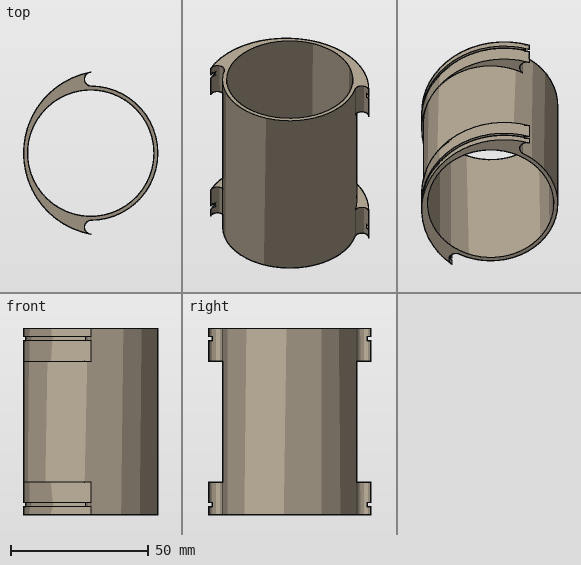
import math

import cadquery as cq

TUBE_RADIUS = 24.5
BORE_RADIUS = 23.0
LENGTH = 68.0

FLANGE_HEIGHT = 12.0
FLANGE_OFFSET = 5.6
FLANGE_RADIUS = TUBE_RADIUS + FLANGE_OFFSET
TIP_Y = math.sqrt(FLANGE_RADIUS**2 - FLANGE_OFFSET**2)
NOTCH_WIDTH = 5.0
NOTCH_DEPTH = 2.25
NOTCH_CENTER_Y = TUBE_RADIUS + NOTCH_WIDTH / 2
NOTCH_OUTER_Y = TUBE_RADIUS + NOTCH_WIDTH

GROOVE_END_GAP = 3.0
GROOVE_WIDTH = 1.5
GROOVE_DEPTH = 0.8


def make_tube_section(base_z, height):
    """Solid round section between the flanges."""
    return (
        cq.Workplane("XY", origin=(0, 0, base_z))
        .moveTo(0, -TUBE_RADIUS)
        .threePointArc((TUBE_RADIUS, 0), (0, TUBE_RADIUS))
        .threePointArc((-TUBE_RADIUS, 0), (0, -TUBE_RADIUS))
        .close()
        .extrude(height)
    )


def make_flange_section(base_z, height):
    """Solid section: tube outline on the +X half, hooked crescent on the -X half."""
    return (
        cq.Workplane("XY", origin=(0, 0, base_z))
        .moveTo(0, -TUBE_RADIUS)
        .threePointArc((TUBE_RADIUS, 0), (0, TUBE_RADIUS))
        .threePointArc((-NOTCH_DEPTH, NOTCH_CENTER_Y), (0, NOTCH_OUTER_Y))
        .lineTo(0, TIP_Y)
        .threePointArc((-TUBE_RADIUS, 0), (0, -TIP_Y))
        .lineTo(0, -NOTCH_OUTER_Y)
        .threePointArc((-NOTCH_DEPTH, -NOTCH_CENTER_Y), (0, -TUBE_RADIUS))
        .close()
        .extrude(height)
    )


def make_groove_section(base_z):
    """Flange section trimmed to the groove floor, which is concentric with the flange arc."""
    floor = (
        cq.Workplane("XY", origin=(FLANGE_OFFSET, 0, base_z))
        .circle(FLANGE_RADIUS - GROOVE_DEPTH)
        .extrude(GROOVE_WIDTH)
    )
    return make_flange_section(base_z, GROOVE_WIDTH).intersect(floor)


def make_bottom_end():
    """Grooved flange at the -Z end: thin rim, groove, thick rim."""
    groove_top = GROOVE_END_GAP + GROOVE_WIDTH
    rim = make_flange_section(0, GROOVE_END_GAP)
    groove = make_groove_section(GROOVE_END_GAP)
    thick_rim = make_flange_section(groove_top, FLANGE_HEIGHT - groove_top)
    return rim.union(groove).union(thick_rim)


def make_bore():
    return cq.Workplane("XY").circle(BORE_RADIUS).extrude(LENGTH)


bottom_end = make_bottom_end()
top_end = bottom_end.mirror("XY").translate((0, 0, LENGTH))
middle = make_tube_section(FLANGE_HEIGHT, LENGTH - 2 * FLANGE_HEIGHT)
result = middle.union(bottom_end).union(top_end).cut(make_bore())